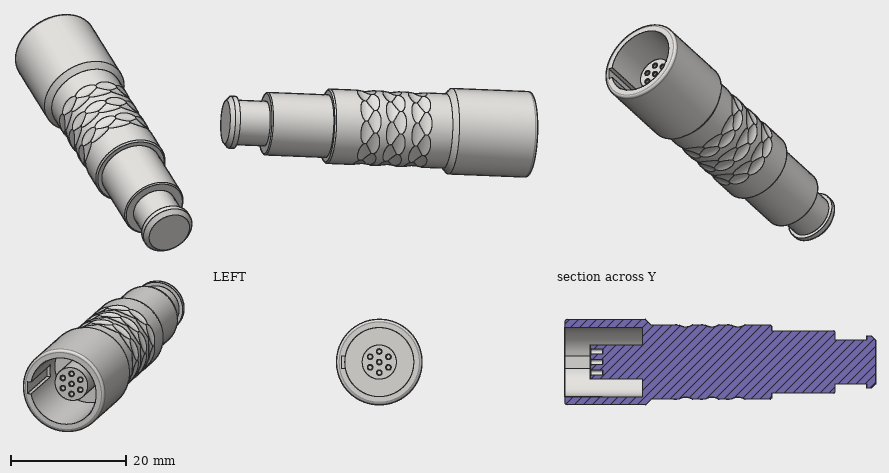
import cadquery as cq
import math

total_length = 54.0
cone_start = 14.05
grip_end = 35.95
sleeve_end = 46.9
flange_start = 52.4

shell_radius = 7.45
grip_radius = 6.5
sleeve_radius = 5.45
neck_radius = 3.9
flange_radius = 4.55

mouth_fillet = 0.5
grip_chamfer = 0.25
sleeve_chamfer = 0.2
flange_chamfer = 0.75

bore_radius = 6.0
bore_depth = 13.5
keyway_depth = 10.8
keyway_width = 2.15
keyway_radius = 6.6

insert_radius = 2.95
insert_face_x = 4.45
contact_circle_radius = 1.85
outer_contacts = 6
contact_recess_radius = 0.5
contact_recess_depth = 0.15
contact_hole_radius = 0.4
contact_hole_depth = 2.15

scallops_per_ring = 10
scallop_depth = 0.4
scallop_cutter_radius = 2.15
scallop_cutter_length = 6.5
ring_spacing = 1.1
first_group_x = 20.45
group_pitch = 4.55
group_count = 3


def make_body():
    """Revolve the stepped outer outline about the X axis."""
    cone_end = cone_start + shell_radius - grip_radius
    fillet_middle = mouth_fillet * (1 - math.sqrt(0.5))
    outline = (
        cq.Workplane("XY")
        .moveTo(0, 0)
        .lineTo(0, shell_radius - mouth_fillet)
        .threePointArc((fillet_middle, shell_radius - fillet_middle), (mouth_fillet, shell_radius))
        .lineTo(cone_start, shell_radius)
        .lineTo(cone_end, grip_radius)
        .lineTo(grip_end - grip_chamfer, grip_radius)
        .lineTo(grip_end, grip_radius - grip_chamfer)
        .lineTo(grip_end, sleeve_radius)
        .lineTo(sleeve_end - sleeve_chamfer, sleeve_radius)
        .lineTo(sleeve_end, sleeve_radius - sleeve_chamfer)
        .lineTo(sleeve_end, neck_radius)
        .lineTo(flange_start, neck_radius)
        .lineTo(flange_start, flange_radius)
        .lineTo(total_length - flange_chamfer, flange_radius)
        .lineTo(total_length, flange_radius - flange_chamfer)
        .lineTo(total_length, 0)
        .close()
    )
    return outline.revolve(360, (0, 0, 0), (1, 0, 0))


def x_cylinder(start, length, radius, y=0.0, z=0.0):
    """Cylinder along +X, starting at X = start."""
    return cq.Workplane("YZ", origin=(start, y, z)).circle(radius).extrude(length)


def make_socket():
    """Space to remove for the bore and keyway, leaving the contact insert."""
    bore = x_cylinder(0, bore_depth, bore_radius)
    keyway = (
        cq.Workplane("XY")
        .box(keyway_depth, keyway_radius, keyway_width, centered=(False, False, True))
    )
    insert = x_cylinder(insert_face_x, bore_depth - insert_face_x, insert_radius)
    return bore.union(keyway).cut(insert)


def make_contact_hole(y, z):
    """Blind hole in the insert face with a shallow wider recess at its mouth."""
    recess = x_cylinder(insert_face_x, contact_recess_depth, contact_recess_radius, y, z)
    return recess.union(x_cylinder(insert_face_x, contact_hole_depth, contact_hole_radius, y, z))


def make_contact_holes():
    """One central hole and a circle of holes in the insert face."""
    holes = make_contact_hole(0, 0)
    for index in range(outer_contacts):
        angle = 2 * math.pi * index / outer_contacts
        y = contact_circle_radius * math.sin(angle)
        z = contact_circle_radius * math.cos(angle)
        holes = holes.union(make_contact_hole(y, z))
    return holes


def make_scallop(x, angle):
    """Cutter lying across the grip at the given angle about X, measured from -Y."""
    axis_radius = grip_radius - scallop_depth + scallop_cutter_radius
    return (
        cq.Workplane("XY", origin=(x, -axis_radius, 0))
        .circle(scallop_cutter_radius)
        .extrude(scallop_cutter_length / 2, both=True)
        .rotate((0, 0, 0), (1, 0, 0), angle)
    )


def make_scallops():
    """Every scallop cutter; the second ring of a group is turned by half a step."""
    step = 360 / scallops_per_ring
    cutters = []
    for group in range(group_count):
        group_x = first_group_x + group * group_pitch
        rings = ((group_x - ring_spacing / 2, 0), (group_x + ring_spacing / 2, step / 2))
        for ring_x, turn in rings:
            for index in range(scallops_per_ring):
                cutters.append(make_scallop(ring_x, index * step + turn))
    return cutters


result = make_body()
for scallop in make_scallops():
    result = result.cut(scallop)
result = result.cut(make_socket())
result = result.cut(make_contact_holes())